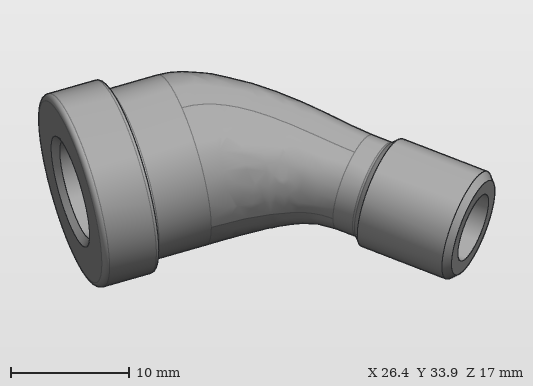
import cadquery as cq
import math

BEND_ANGLE = 45.0
BEND_POINT_Y = 15.95

COLLAR_RADIUS = 8.5
COLLAR_LENGTH = 5.0
COLLAR_END_ROUND = 0.5
COLLAR_STEP_ROUND = 0.3
BODY_RADIUS = 7.5
BODY_END_Y = 10.0

ARM_RADIUS = 4.88
ARM_END = 21.07
ARM_LENGTH = 8.55
NECK_RADIUS = 4.27
NECK_START = 9.95
NECK_FOOT_ROUND = 0.3
ARM_CHAMFER = ARM_RADIUS - NECK_RADIUS

INLET_BORE_RADIUS = 4.3
INLET_CHAMFER = 0.58
OUTLET_BORE_RADIUS = 3.0

START_PULL = 15.25
END_PULL = 13.55
SECTION_COUNT = 9

BAND_MARGIN = 0.35

COLLAR_DIR = cq.Vector(0, 1, 0)
ARM_DIR = cq.Vector(math.sin(math.radians(BEND_ANGLE)), math.cos(math.radians(BEND_ANGLE)), 0)
BEND_POINT = cq.Vector(0, BEND_POINT_Y, 0)


def revolve_about_y(profile):
    return profile.close().revolve(360, (0, 0, 0), (0, 1, 0))


def band_around(y):
    """Select edges lying close to the given height on the Y axis."""
    return cq.selectors.BoxSelector(
        (-COLLAR_RADIUS, y - BAND_MARGIN, -COLLAR_RADIUS),
        (COLLAR_RADIUS, y + BAND_MARGIN, COLLAR_RADIUS),
    )


def place_on_arm(shape):
    """Move a shape built along +Y from the origin onto the arm axis."""
    return shape.rotate((0, 0, 0), (0, 0, 1), -BEND_ANGLE).translate(BEND_POINT)


def tapered_bend(start_radius, end_radius):
    """Loft from a circle at the body end to a circle at the neck start, easing in and out."""
    start = COLLAR_DIR * BODY_END_Y
    end = BEND_POINT + ARM_DIR * NECK_START
    sections = []
    for i in range(SECTION_COUNT):
        t = i / (SECTION_COUNT - 1)
        blend = t * t * (3 - 2 * t)
        center = (
            start * (1 - blend)
            + end * blend
            + COLLAR_DIR * (START_PULL * t * (1 - t) ** 2)
            - ARM_DIR * (END_PULL * t * t * (1 - t))
        )
        radius = start_radius * (1 - blend) + end_radius * blend
        normal = COLLAR_DIR * (start_radius * (1 - blend)) + ARM_DIR * (end_radius * blend)
        sections.append(cq.Wire.makeCircle(radius, center, normal))
    return cq.Workplane(cq.Solid.makeLoft(sections))


def collar_and_body():
    profile = (
        cq.Workplane("XY")
        .lineTo(COLLAR_RADIUS, 0)
        .lineTo(COLLAR_RADIUS, COLLAR_LENGTH)
        .lineTo(BODY_RADIUS, COLLAR_LENGTH)
        .lineTo(BODY_RADIUS, BODY_END_Y)
        .lineTo(0, BODY_END_Y)
    )
    return (
        revolve_about_y(profile)
        .edges(band_around(COLLAR_LENGTH)).edges("%CIRCLE").fillet(COLLAR_STEP_ROUND)
        .faces("<Y").edges("%CIRCLE").fillet(COLLAR_END_ROUND)
    )


def neck_and_arm():
    arm_start = ARM_END - ARM_LENGTH
    foot = arm_start - ARM_CHAMFER
    profile = (
        cq.Workplane("XY")
        .moveTo(0, NECK_START)
        .lineTo(NECK_RADIUS, NECK_START)
        .lineTo(NECK_RADIUS, foot)
        .lineTo(ARM_RADIUS, arm_start)
        .lineTo(ARM_RADIUS, ARM_END - ARM_CHAMFER)
        .lineTo(ARM_RADIUS - ARM_CHAMFER, ARM_END)
        .lineTo(0, ARM_END)
    )
    arm = revolve_about_y(profile).edges(band_around(foot)).edges("%CIRCLE")
    return place_on_arm(arm.fillet(NECK_FOOT_ROUND))


def inlet_bore():
    return revolve_about_y(
        cq.Workplane("XY")
        .lineTo(INLET_BORE_RADIUS + INLET_CHAMFER, 0)
        .lineTo(INLET_BORE_RADIUS, INLET_CHAMFER)
        .lineTo(INLET_BORE_RADIUS, BODY_END_Y)
        .lineTo(0, BODY_END_Y)
    )


def outlet_bore():
    bore = cq.Workplane("XZ", origin=(0, NECK_START, 0)).circle(OUTLET_BORE_RADIUS)
    return place_on_arm(bore.extrude(NECK_START - ARM_END))


outside = (
    collar_and_body()
    .union(tapered_bend(BODY_RADIUS, NECK_RADIUS))
    .union(neck_and_arm())
)
passage = (
    inlet_bore()
    .union(tapered_bend(INLET_BORE_RADIUS, OUTLET_BORE_RADIUS))
    .union(outlet_bore())
)
result = outside.cut(passage).solids()